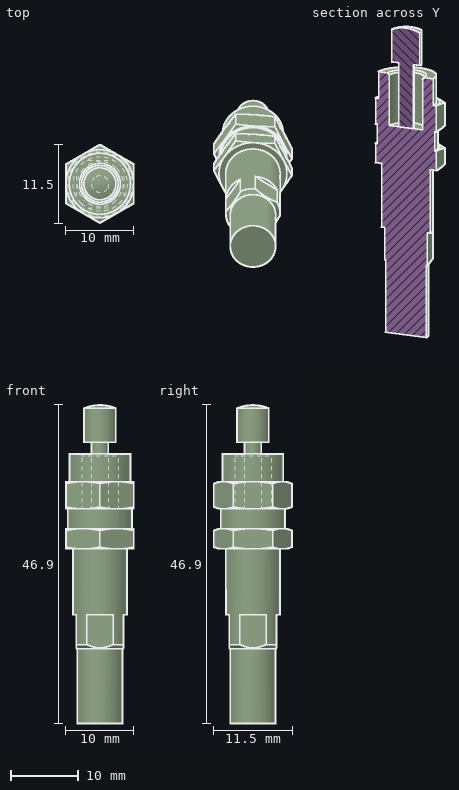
import cadquery as cq
import math

tail_top = 11.0
flats_length = 5.0
flats_top = tail_top + flats_length
nut_bottom = 25.7
nut_height = 3.0
nut_top = nut_bottom + nut_height
hex_height = 4.0
spacer_height = 2.9
hex_bottom = nut_top + spacer_height
hex_top = hex_bottom + hex_height
collar_height = 4.1
housing_top = hex_top + collar_height
overall_height = 46.9

tail_diameter = 6.7
barrel_diameter = 8.0
barrel_chamfer = (barrel_diameter - tail_diameter) / 2
flats_width = 7.0
spacer_diameter = 9.5
collar_diameter = 9.0
hex_across_flats = 10.0
hex_across_corners = hex_across_flats / math.cos(math.pi / 6)
hex_face_diameter = hex_across_flats
hex_chamfer_angle = math.radians(20)
bore_diameter = 5.4
bore_depth = 8.0
bore_floor = housing_top - bore_depth
bore_chamfer = 0.3

rod_diameter = 2.5
head_diameter = 4.7
head_length = 5.0
dome_height = 0.5
head_top = overall_height - dome_height
head_bottom = head_top - head_length


def cylinder(diameter, bottom, top):
    return cq.Workplane("XY").workplane(offset=bottom).circle(diameter / 2).extrude(top - bottom)


def hexagon(bottom, top):
    """Hexagon with flats facing +X and -X and its corners turned off conically at both ends."""
    prism = (
        cq.Workplane("XY")
        .workplane(offset=bottom)
        .polygon(6, hex_across_corners)
        .extrude(top - bottom)
        .rotate((0, 0, 0), (0, 0, 1), 30)
    )
    chamfer_width = (hex_across_corners - hex_face_diameter) / 2
    chamfer_drop = chamfer_width * math.tan(hex_chamfer_angle)
    turned_blank = (
        cylinder(hex_across_corners, bottom, top)
        .faces("<Z or >Z")
        .chamfer(chamfer_drop, chamfer_width)
    )
    return prism.intersect(turned_blank)


def threaded_barrel():
    """Barrel with a chamfered lower end and four wrench flats above that end."""
    barrel = cylinder(barrel_diameter, tail_top, nut_bottom).faces("<Z").chamfer(barrel_chamfer)
    square = (
        cq.Workplane("XY").workplane(offset=tail_top).rect(flats_width, flats_width).extrude(flats_length)
    )
    outside_flats = cylinder(barrel_diameter, tail_top, flats_top).cut(square)
    return barrel.cut(outside_flats)


def make_housing():
    bore = cylinder(bore_diameter, bore_floor, housing_top)
    collar = cylinder(collar_diameter, hex_top, housing_top).cut(bore)
    bore_rim = collar.faces(">Z").edges("%CIRCLE").edges(cq.selectors.RadiusNthSelector(0))
    collar = bore_rim.chamfer(bore_chamfer)
    return (
        cylinder(tail_diameter, 0, tail_top)
        .union(threaded_barrel())
        .union(hexagon(nut_bottom, nut_top))
        .union(cylinder(spacer_diameter, nut_top, hex_bottom))
        .union(hexagon(hex_bottom, hex_top))
        .cut(bore)
        .union(collar)
    )


def make_plunger():
    """Rod standing on the bore floor, carrying a domed head."""
    rod_radius = rod_diameter / 2
    head_radius = head_diameter / 2
    dome_radius = (head_radius**2 + dome_height**2) / (2 * dome_height)
    dome_mid_x = head_radius / 2
    dome_mid_z = overall_height - dome_radius + math.sqrt(dome_radius**2 - dome_mid_x**2)
    return (
        cq.Workplane("XZ")
        .moveTo(0, bore_floor)
        .lineTo(rod_radius, bore_floor)
        .lineTo(rod_radius, head_bottom)
        .lineTo(head_radius, head_bottom)
        .lineTo(head_radius, head_top)
        .threePointArc((dome_mid_x, dome_mid_z), (0, overall_height))
        .close()
        .revolve(360, (0, 0, 0), (0, 1, 0))
    )


housing = make_housing()
plunger = make_plunger()

result = cq.Compound.makeCompound([housing.val(), plunger.val()])